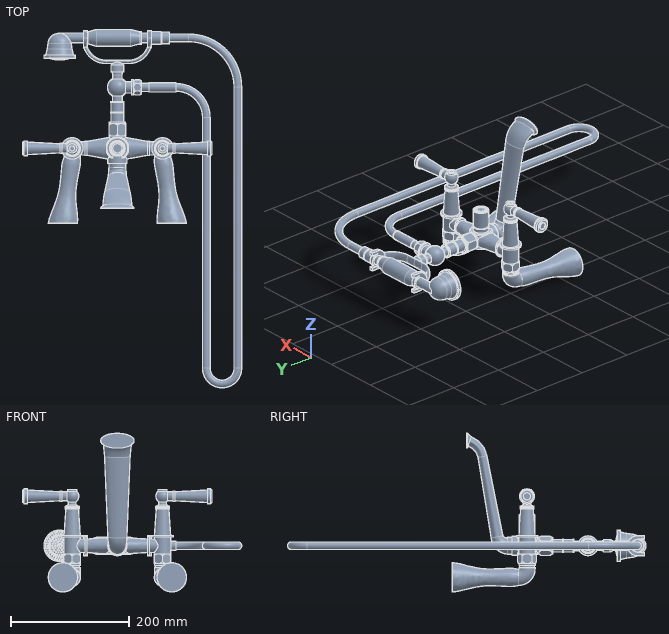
import cadquery as cq
import math


X_AXIS = (1, 0, 0)
Y_AXIS = (0, 1, 0)
Z_AXIS = (0, 0, 1)

valve_x = 76.5
bar_end_r = 11.5
bar_taper_x = 53.5
bar_mid_half_y = 21.0
bar_mid_half_z = 14.5
bar_ring_x = 51.0
bar_ring_width = 3.5
bar_ring_half_y = 12.0
bar_ring_half_z = 16.0
hub_r = 19.5
hub_half_z = 14.5
hub_chamfer = 2.0

diverter_r = 13.5
diverter_top = 53.5
diverter_chamfer = 1.0
diverter_button_r = 8.0
diverter_groove_r = 10.0
diverter_groove_depth = 2.0
diverter_line_z = 21.0
diverter_line_width = 1.0
diverter_line_depth = 0.5

column_r = 14.0
column_bottom = -14.0
valve_flange_r = 18.0
valve_flange_z = 14.5
valve_flange_height = 3.0
valve_cone_top = 62.5
valve_cone_top_r = 11.0
valve_collar_r = 12.0
valve_collar_height = 4.0
valve_collar_groove = 0.9
valve_neck_z = 69.0
valve_neck_r = 6.5
valve_nut_flats = 28.5
valve_nut_bottom = -29.5
nut_chamfer_r = 2.0
nut_chamfer_height = 3.0

lever_z = 83.5
lever_ball_r = 11.5
lever_cap_r = 8.0
lever_cap_top = 95.0
lever_cap_recess_r = 4.0
lever_cap_recess_depth = 1.0
lever_tip_x = 160.0
lever_stub_r = 8.0
lever_ring_x = 94.0
lever_ring_r = 9.0
lever_ring_width = 3.0
lever_root_r = 8.0
lever_end_r = 11.0
lever_knob_width = 8.0
lever_knob_r = 13.0
lever_knob_chamfer = 2.5
lever_recess_r = 6.0
lever_recess_depth = 1.0

leg_z = -53.5
leg_r = 14.0
leg_bend_r = 14.5
leg_groove_z = -33.5
leg_groove_height = 3.0
leg_groove_r = 13.0
leg_end_x = 92.0
leg_stations = (
    (-leg_bend_r, leg_r),
    (-53.5, 14.5),
    (-91.0, 17.5),
    (-110.0, 22.5),
    (-126.5, 25.0),
)

spout_collar_y = -25.5
spout_collar_r = 16.5
spout_tube_r = 14.5
spout_corner_y = -48.0
spout_lean = 10.3
spout_low_bend_r = 18.0
spout_exit_rise = 20
spout_exit_y = -97.0
spout_exit_z = 176.5
spout_face_y = -102.0
spout_face_z = 177.5
spout_low_half_x = 16.5
spout_low_half_depth = 10.0
spout_high_half_x = 22.0
spout_high_half_depth = 8.0
spout_lip_half_x = 25.0
spout_lip_half_depth = 8.5
spout_face_half_x = 28.5
spout_face_half_z = 13.0
spout_rim = 1.0
bend_steps = 3

riser_nut_flats = 28.5
riser_nut_start = 20.5
riser_nut_end = 42.0
riser_step_end = 44.0
riser_step_r = 14.0
riser_r = 11.0
riser_ring_r = 11.5
riser_ring_width = 2.0
riser_ring_ys = (60.0, 77.5)
riser_neck_r = 8.5
riser_ball_y = 103.0
riser_ball_r = 17.0
riser_ball_flat = 14.5
riser_ball_outlet_flat = 13.5
riser_upper_neck_r = 8.0
riser_flare_y = 124.0
riser_flare_r = 9.0
riser_boss_y = 129.0
riser_boss_top = 140.5

outlet_r = 9.5
outlet_flange_x = 24.0
outlet_flange_width = 3.0
outlet_flange_r = 13.5
outlet_nut_end = 40.5
outlet_nut_flats = 22.5
ferrule_neck_r = 7.0
ferrule_x = 53.5
ferrule_r = 8.0

hose_r = 6.5
hose_short_bend_x = 99.5
hose_short_x = 150.0
hose_long_x = 203.5
hose_long_bend_x = 120.5
hose_turn_y = -371.5

handle_y = 186.5
head_x = -97.5
handle_pipe_r = 8.5
grip_start = -49.5
grip_full_start = -35.0
grip_full_end = 22.0
grip_end = 38.0
grip_end_r = 10.0
grip_r = 14.5
grip_ring_width = 2.5
connector_start = 57.5
connector_groove_x = 74.0
connector_groove_width = 2.0
connector_end = 88.0
connector_r = 11.0
connector_end_r = 10.0

head_top_y = 194.5
head_shoulder_y = 177.0
head_shoulder_r = 20.0
head_waist_y = 168.0
head_waist_r = 21.0
head_rim_y = 157.5
head_neck_r = 23.5
head_rim_r = 26.5
head_face_y = 152.0
head_bulge_y = 149.0
head_bulge_r = 17.5
spray_hole_r = 0.9
spray_hole_depth = 2.0
spray_ring_pitch = 3.95
spray_rings = 6
spray_ring_holes = 6

fork_x = 54.0
fork_width = 6.5
fork_outer_r = 17.0
fork_slot_half = 11.5
fork_tip_y = 199.0
cradle_y = 146.0
cradle_flat_half = 18.0
cradle_arm_half_y = 3.0
cradle_arm_half_z = 8.0
cradle_arm_end_y = 171.5
cradle_arm_mid = (42.0, 154.0)


def turned(origin, axis, stations):
    """Solid of revolution; stations are (distance along the axis, radius)."""
    across = Y_AXIS if axis == X_AXIS else X_AXIS
    normal = cq.Vector(*axis).cross(cq.Vector(*across))
    plane = cq.Plane(origin=origin, xDir=axis, normal=normal.toTuple())
    outline = [(stations[0][0], 0)] + list(stations) + [(stations[-1][0], 0)]
    return cq.Workplane(plane).polyline(outline).close().revolve(360, (0, 0), (1, 0))


def rod(origin, axis, start, end, radius):
    """Plain cylinder along an axis."""
    return turned(origin, axis, [(start, radius), (end, radius)])


def hex_nut(origin, axis, point_dir, start, end, across_flats):
    """Hexagonal nut with chamfered corners, one corner pointing along point_dir."""
    corner_r = across_flats / math.sqrt(3)
    plane = cq.Plane(origin=origin, xDir=point_dir, normal=axis)
    nut = cq.Workplane(plane).workplane(offset=start).polygon(6, 2 * corner_r).extrude(end - start)
    blank = turned(origin, axis, [
        (start, corner_r - nut_chamfer_r),
        (start + nut_chamfer_height, corner_r),
        (end - nut_chamfer_height, corner_r),
        (end, corner_r - nut_chamfer_r),
    ])
    return nut.intersect(blank)


def ellipse_wire(center, normal, half_x, half_across):
    """Elliptical wire whose first half-axis lies along X."""
    return (
        cq.Workplane(cq.Plane(origin=center, xDir=X_AXIS, normal=normal))
        .ellipse(half_x, half_across)
        .wires()
        .val()
    )


def loft(wires, ruled=False):
    return cq.Workplane(obj=cq.Solid.makeLoft(wires, ruled))


def mirrored(half):
    """A shape together with its mirror image across the middle of the body."""
    return half.union(half.mirror("YZ"))


def body():
    end = (
        cq.Workplane("YZ").ellipse(bar_mid_half_y, bar_mid_half_z)
        .workplane(offset=bar_taper_x).circle(bar_end_r)
        .loft(ruled=True)
    )
    ring = (
        cq.Workplane("YZ").workplane(offset=bar_ring_x)
        .ellipse(bar_ring_half_y, bar_ring_half_z).extrude(bar_ring_width)
    )
    hub = cq.Workplane("XY").circle(hub_r).extrude(hub_half_z, both=True).edges().chamfer(hub_chamfer)
    stub = rod((0, 0, 0), X_AXIS, bar_taper_x, valve_x, bar_end_r)
    return mirrored(end.union(ring).union(stub)).union(hub)


def diverter():
    line_top = diverter_line_z + diverter_line_width
    line_r = diverter_r - diverter_line_depth
    groove_floor = diverter_top - diverter_groove_depth
    return turned((0, 0, 0), Z_AXIS, [
        (0, diverter_r),
        (diverter_line_z, diverter_r),
        (diverter_line_z, line_r),
        (line_top, line_r),
        (line_top, diverter_r),
        (diverter_top - diverter_chamfer, diverter_r),
        (diverter_top, diverter_r - diverter_chamfer),
        (diverter_top, diverter_groove_r),
        (groove_floor, diverter_groove_r),
        (groove_floor, diverter_button_r),
        (diverter_top, diverter_button_r),
    ])


def valve():
    """Valve column on the +X side, from its lower nut to the cap above the lever ball."""
    base = (valve_x, 0, 0)
    flange_top = valve_flange_z + valve_flange_height
    collar_top = valve_cone_top + valve_collar_height
    groove_bottom = (valve_cone_top + collar_top - valve_collar_groove) / 2
    column = turned(base, Z_AXIS, [
        (column_bottom, column_r),
        (valve_flange_z, column_r),
        (valve_flange_z, valve_flange_r),
        (flange_top, valve_flange_r),
        (flange_top, column_r),
        (valve_cone_top, valve_cone_top_r),
        (valve_cone_top, valve_collar_r),
        (groove_bottom, valve_collar_r),
        (groove_bottom, valve_cone_top_r),
        (groove_bottom + valve_collar_groove, valve_cone_top_r),
        (groove_bottom + valve_collar_groove, valve_collar_r),
        (collar_top, valve_collar_r),
        (valve_neck_z, valve_neck_r),
        (lever_z, valve_neck_r),
        (lever_z, lever_cap_r),
        (lever_cap_top, lever_cap_r),
        (lever_cap_top, lever_cap_recess_r),
        (lever_cap_top - lever_cap_recess_depth, lever_cap_recess_r),
    ])
    ball = cq.Workplane(origin=(valve_x, 0, lever_z)).sphere(lever_ball_r)
    nut = hex_nut(base, Z_AXIS, Y_AXIS, valve_nut_bottom, column_bottom, valve_nut_flats)
    return column.union(ball).union(nut)


def lever():
    knob_x = lever_tip_x - lever_knob_width
    ring_end = lever_ring_x + lever_ring_width
    return turned((0, 0, lever_z), X_AXIS, [
        (valve_x, lever_stub_r),
        (lever_ring_x, lever_stub_r),
        (lever_ring_x, lever_ring_r),
        (ring_end, lever_ring_r),
        (ring_end, lever_root_r),
        (knob_x, lever_end_r),
        (knob_x, lever_knob_r),
        (lever_tip_x - lever_knob_chamfer, lever_knob_r),
        (lever_tip_x, lever_knob_r - lever_knob_chamfer),
        (lever_tip_x, lever_recess_r),
        (lever_tip_x - lever_recess_depth, lever_recess_r),
    ])


def leg():
    """Elbow below a valve and the flared leg that splays outwards from it."""
    bend_top = leg_z + leg_bend_r
    groove_top = leg_groove_z
    groove_bottom = groove_top - leg_groove_height
    pipe = turned((valve_x, 0, 0), Z_AXIS, [
        (bend_top, leg_r),
        (groove_bottom, leg_r),
        (groove_bottom, leg_groove_r),
        (groove_top, leg_groove_r),
        (groove_top, leg_r),
        (valve_nut_bottom, leg_r),
    ])
    elbow = (
        cq.Workplane("XY", origin=(valve_x, 0, bend_top)).circle(leg_r)
        .revolve(90, (0, -leg_bend_r), (-1, -leg_bend_r))
    )
    first_y = leg_stations[0][0]
    last_y = leg_stations[-1][0]
    wires = []
    for y, radius in leg_stations:
        drift = (leg_end_x - valve_x) * (y - first_y) / (last_y - first_y)
        center = cq.Vector(valve_x + drift, y, leg_z)
        wires.append(cq.Wire.makeCircle(radius, center, cq.Vector(0, -1, 0)))
    return pipe.union(elbow).union(loft(wires))


def spout():
    collar = rod((0, 0, 0), Y_AXIS, spout_collar_y, 0, spout_collar_r)
    lean = math.radians(spout_lean)
    rise = math.radians(spout_exit_rise)
    climb = math.pi / 2 - lean
    low_start_y = spout_corner_y + spout_low_bend_r * math.tan(climb / 2)
    tube = rod((0, 0, 0), Y_AXIS, low_start_y, 0, spout_tube_r)

    run = spout_exit_y - spout_corner_y
    high_corner_z = (spout_exit_z + run * math.tan(rise)) / (1 - math.tan(rise) * math.tan(lean))
    high_corner_y = spout_corner_y - high_corner_z * math.tan(lean)
    high_tangent = math.hypot(spout_exit_y - high_corner_y, spout_exit_z - high_corner_z)
    high_bend_r = high_tangent / math.tan((climb - rise) / 2)

    def low_section(share):
        slope = climb * share
        y = low_start_y - spout_low_bend_r * math.sin(slope)
        z = spout_low_bend_r * (1 - math.cos(slope))
        half_x = spout_tube_r + (spout_low_half_x - spout_tube_r) * share
        half_depth = spout_tube_r + (spout_low_half_depth - spout_tube_r) * share
        return ellipse_wire((0, y, z), (0, -math.cos(slope), math.sin(slope)), half_x, half_depth)

    def high_section(share):
        slope = climb + (rise - climb) * share
        y = spout_exit_y + high_bend_r * (math.sin(slope) - math.sin(rise))
        z = spout_exit_z + high_bend_r * (math.cos(slope) - math.cos(rise))
        half_x = spout_high_half_x + (spout_lip_half_x - spout_high_half_x) * share
        half_depth = spout_high_half_depth + (spout_lip_half_depth - spout_high_half_depth) * share
        return ellipse_wire((0, y, z), (0, -math.cos(slope), math.sin(slope)), half_x, half_depth)

    low_bend = loft([low_section(step / bend_steps) for step in range(bend_steps + 1)])
    shank = loft([low_section(1), high_section(0)], ruled=True)
    high_bend = loft([high_section(step / bend_steps) for step in range(bend_steps + 1)])
    rim_center = (0, spout_face_y + spout_rim, spout_face_z)
    rim_wire = ellipse_wire(rim_center, (0, -1, 0), spout_face_half_x, spout_face_half_z)
    flare = loft([high_section(1), rim_wire], ruled=True)
    rim = (
        cq.Workplane(cq.Plane(origin=rim_center, xDir=X_AXIS, normal=(0, -1, 0)))
        .ellipse(spout_face_half_x, spout_face_half_z).extrude(spout_rim)
    )
    return collar.union(tube).union(low_bend).union(shank).union(high_bend).union(flare).union(rim)


def riser():
    nut = hex_nut((0, 0, 0), Y_AXIS, Z_AXIS, riser_nut_start, riser_nut_end, riser_nut_flats)
    last_ring_end = riser_ring_ys[-1] + riser_ring_width
    stem = turned((0, 0, 0), Y_AXIS, [
        (0, riser_step_r),
        (riser_step_end, riser_step_r),
        (riser_step_end, riser_r),
        (last_ring_end, riser_r),
        (last_ring_end, riser_neck_r),
        (riser_ball_y, riser_neck_r),
        (riser_ball_y, riser_upper_neck_r),
        (riser_flare_y, riser_upper_neck_r),
        (riser_boss_y, riser_flare_r),
        (riser_boss_y, riser_r),
        (riser_boss_top, riser_r),
        (cradle_y, riser_upper_neck_r),
    ])
    for y in riser_ring_ys:
        stem = stem.union(rod((0, 0, 0), Y_AXIS, y, y + riser_ring_width, riser_ring_r))
    ball = cq.Workplane(origin=(0, riser_ball_y, 0)).sphere(riser_ball_r)
    keep_x = riser_ball_r + riser_ball_outlet_flat
    keep = cq.Workplane(origin=(riser_ball_outlet_flat - keep_x / 2, riser_ball_y, 0)).box(
        keep_x, 2 * riser_ball_flat, 2 * riser_ball_r
    )
    return stem.union(nut).union(ball.intersect(keep))


def outlet():
    origin = (0, riser_ball_y, 0)
    flange_end = outlet_flange_x + outlet_flange_width
    pipe = turned(origin, X_AXIS, [
        (0, outlet_r),
        (outlet_flange_x, outlet_r),
        (outlet_flange_x, outlet_flange_r),
        (flange_end, outlet_flange_r),
        (flange_end, ferrule_neck_r),
        (ferrule_x, ferrule_neck_r),
        (ferrule_x, ferrule_r),
        (hose_short_bend_x, ferrule_r),
    ])
    return pipe.union(hex_nut(origin, X_AXIS, Y_AXIS, flange_end, outlet_nut_end, outlet_nut_flats))


def hose():
    """Hose from the outlet, down its short side, around the loop and up to the hand shower."""
    short_r = hose_short_x - hose_short_bend_x
    long_r = hose_long_x - hose_long_bend_x
    turn_r = (hose_long_x - hose_short_x) / 2
    diagonal = math.sqrt(0.5)
    path = (
        cq.Workplane("XY").moveTo(hose_short_bend_x - ferrule_r, riser_ball_y)
        .lineTo(hose_short_bend_x, riser_ball_y)
        .threePointArc(
            (hose_short_bend_x + short_r * diagonal, riser_ball_y - short_r * (1 - diagonal)),
            (hose_short_x, riser_ball_y - short_r),
        )
        .lineTo(hose_short_x, hose_turn_y)
        .threePointArc((hose_short_x + turn_r, hose_turn_y - turn_r), (hose_long_x, hose_turn_y))
        .lineTo(hose_long_x, handle_y - long_r)
        .threePointArc(
            (hose_long_bend_x + long_r * diagonal, handle_y - long_r * (1 - diagonal)),
            (hose_long_bend_x, handle_y),
        )
        .lineTo(connector_end - hose_r, handle_y)
    )
    start = (hose_short_bend_x - ferrule_r, riser_ball_y, 0)
    return cq.Workplane("YZ", origin=start).circle(hose_r).sweep(path)


def hand_shower():
    groove_end = connector_groove_x + connector_groove_width
    handle = turned((0, handle_y, 0), X_AXIS, [
        (head_x, handle_pipe_r),
        (grip_start, handle_pipe_r),
        (grip_start, grip_end_r),
        (grip_full_start, grip_r),
        (grip_full_end, grip_r),
        (grip_end, grip_end_r),
        (grip_end, connector_r),
        (grip_end + grip_ring_width, connector_r),
        (grip_end + grip_ring_width, handle_pipe_r),
        (connector_start, handle_pipe_r),
        (connector_start, connector_r),
        (connector_groove_x, connector_r),
        (connector_groove_x, handle_pipe_r),
        (groove_end, handle_pipe_r),
        (groove_end, connector_end_r),
        (connector_end, connector_end_r),
    ])
    dome_height = head_top_y - head_shoulder_y
    diagonal = math.sqrt(0.5)
    bulge_height = head_face_y - head_bulge_y
    sphere_r = (head_bulge_r**2 + bulge_height**2) / (2 * bulge_height)
    half_angle = math.asin(head_bulge_r / sphere_r) / 2
    bulge_mid = (
        sphere_r * math.sin(half_angle),
        head_bulge_y + sphere_r * (1 - math.cos(half_angle)),
    )
    head = (
        cq.Workplane("XY", origin=(head_x, 0, 0))
        .moveTo(0, head_top_y)
        .threePointArc(
            (head_shoulder_r * diagonal, head_shoulder_y + dome_height * diagonal),
            (head_shoulder_r, head_shoulder_y),
        )
        .lineTo(head_waist_r, head_waist_y)
        .lineTo(head_neck_r, head_rim_y)
        .lineTo(head_rim_r, head_rim_y)
        .lineTo(head_rim_r, head_face_y)
        .lineTo(head_bulge_r, head_face_y)
        .threePointArc(bulge_mid, (0, head_bulge_y))
        .close()
        .revolve(360, (0, 0), (0, 1))
    )
    hole_top = head_face_y + spray_hole_depth
    hole_length = hole_top - head_bulge_y
    face = cq.Workplane("XZ", origin=(head_x, hole_top, 0))
    holes = face.circle(spray_hole_r).extrude(hole_length)
    for ring in range(1, spray_rings + 1):
        spots = face.polarArray(ring * spray_ring_pitch, 0, 360, spray_ring_holes * ring)
        holes.add(spots.circle(spray_hole_r).extrude(hole_length))
    return handle.union(head.cut(holes.combine(glue=True)))


def cradle():
    """Curved yoke with an open fork at each end that the hand shower rests in."""
    mid_x, mid_y = cradle_arm_mid
    path = (
        cq.Workplane("XY").moveTo(0, cradle_y)
        .lineTo(cradle_flat_half, cradle_y)
        .threePointArc((mid_x, mid_y), (fork_x, cradle_arm_end_y))
    )
    arm = cq.Workplane("YZ", origin=(0, cradle_y, 0)).ellipse(cradle_arm_half_y, cradle_arm_half_z)
    arm = arm.sweep(path, transition="round")
    fork = (
        cq.Workplane("YZ", origin=(fork_x - fork_width / 2, handle_y, 0))
        .moveTo(fork_tip_y - handle_y, -fork_outer_r)
        .lineTo(0, -fork_outer_r)
        .threePointArc((-fork_outer_r, 0), (0, fork_outer_r))
        .lineTo(fork_tip_y - handle_y, fork_outer_r)
        .lineTo(fork_tip_y - handle_y, fork_slot_half)
        .lineTo(0, fork_slot_half)
        .threePointArc((-fork_slot_half, 0), (0, -fork_slot_half))
        .lineTo(fork_tip_y - handle_y, -fork_slot_half)
        .close()
        .extrude(fork_width)
    )
    seat = rod((0, handle_y, 0), X_AXIS, fork_x - fork_width / 2, fork_x + fork_width / 2, fork_slot_half)
    return mirrored(arm.union(fork).union(seat))


result = (
    body()
    .union(diverter())
    .union(mirrored(valve().union(lever()).union(leg())))
    .union(spout())
    .union(riser())
    .union(outlet())
    .union(hose())
    .union(cradle())
    .union(hand_shower())
)